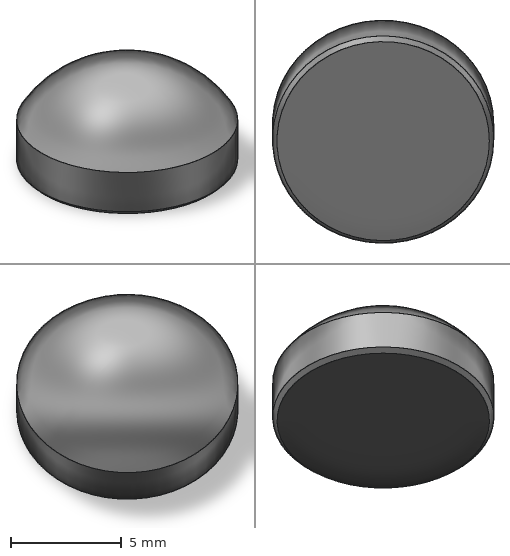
import cadquery as cq
import math

diameter = 10.0
total_height = 5.0
dome_height = 2.78
base_chamfer = 0.2

radius = diameter / 2
rim_height = total_height - dome_height
dome_radius = (radius**2 + dome_height**2) / (2 * dome_height)

half_angle = math.asin(radius / dome_radius) / 2
dome_center_z = total_height - dome_radius
arc_midpoint = (
    dome_radius * math.sin(half_angle),
    dome_center_z + dome_radius * math.cos(half_angle),
)

half_profile = (
    cq.Workplane("XZ")
    .moveTo(0, 0)
    .lineTo(radius - base_chamfer, 0)
    .lineTo(radius, base_chamfer)
    .lineTo(radius, rim_height)
    .threePointArc(arc_midpoint, (0, total_height))
    .close()
)

result = half_profile.revolve(360, (0, 0, 0), (0, 1, 0))